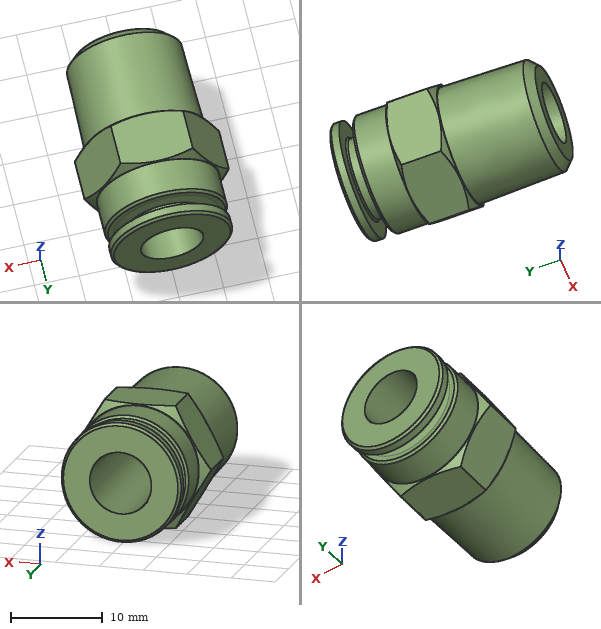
import cadquery as cq
import math

length = 23.7
half_length = length / 2

flange_radius = 6.8
flange_thickness = 1.18
flange_chamfer = 0.28
neck_radius = 4.7
neck_flare = 0.2
neck_end_depth = 2.5

body_radius = 6.85
body_chamfer = 0.28
body_end_depth = 2.7
body_cone_small_radius = 4.83
body_cone_large_radius = 5.92

hex_across_flats = 14.0
hex_front_depth = 6.7
hex_back_depth = 12.73
hex_face_radius = 6.9
hex_chamfer_angle = 30.0

thread_root_radius = 6.73
thread_tip_radius = 6.47
tip_chamfer = 1.0
bore_radius = 3.5

flange_end = half_length
flange_back = flange_end - flange_thickness
neck_end = flange_end - neck_end_depth
body_end = flange_end - body_end_depth
hex_front = flange_end - hex_front_depth
hex_back = flange_end - hex_back_depth
thread_tip = -half_length

hex_corner_radius = hex_across_flats / math.sqrt(3)
hex_corner_drop = (hex_corner_radius - hex_face_radius) * math.tan(math.radians(hex_chamfer_angle))


def turned(profile):
    """Revolve a closed (radius, y) profile about the Y axis."""
    return cq.Workplane("XY").polyline(profile).close().revolve(360, (0, 0), (0, 1))


def make_flange_and_body():
    return turned([
        (0, flange_end),
        (flange_radius - flange_chamfer, flange_end),
        (flange_radius, flange_end - flange_chamfer),
        (flange_radius, flange_back),
        (neck_radius + neck_flare, flange_back),
        (neck_radius, flange_back - neck_flare),
        (neck_radius, neck_end),
        (body_cone_small_radius, neck_end),
        (body_cone_large_radius, body_end),
        (body_radius - body_chamfer, body_end),
        (body_radius, body_end - body_chamfer),
        (body_radius, hex_front),
        (0, hex_front),
    ])


def make_hex_collar():
    prism = (
        cq.Workplane("XZ", origin=(0, hex_front, 0))
        .polygon(6, 2 * hex_corner_radius)
        .extrude(hex_front - hex_back)
    )
    envelope = turned([
        (0, hex_front),
        (hex_face_radius, hex_front),
        (hex_corner_radius, hex_front - hex_corner_drop),
        (hex_corner_radius, hex_back + hex_corner_drop),
        (hex_face_radius, hex_back),
        (0, hex_back),
    ])
    return prism.intersect(envelope)


def make_thread_end():
    return turned([
        (0, hex_back),
        (thread_root_radius, hex_back),
        (thread_tip_radius, thread_tip + tip_chamfer),
        (thread_tip_radius - tip_chamfer, thread_tip),
        (0, thread_tip),
    ])


bore = cq.Workplane("XZ", origin=(0, flange_end, 0)).circle(bore_radius).extrude(length)

result = make_flange_and_body().union(make_hex_collar()).union(make_thread_end()).cut(bore)